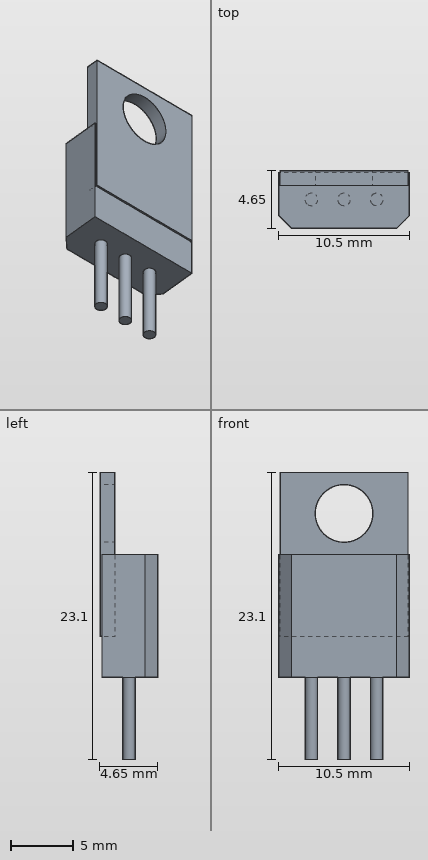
import cadquery as cq

total_height = 23.1
total_depth = 4.65

housing_width = 10.52
housing_height = total_height * 3 / 7
tab_standoff = 0.15
housing_depth = total_depth - tab_standoff
edge_chamfer = 1.02

pin_diameter = 1.02
pin_count = 3
pin_pitch = housing_width / 4
pin_length = (total_height - housing_height) / 2
pin_y = -total_depth / 2

tab_width = 10.3
tab_thickness = 1.18
tab_exposed_height = total_height - pin_length - housing_height
tab_height = 2 * tab_exposed_height
tab_bottom_z = total_height - tab_height
hole_diameter = 4.62
hole_z = total_height - tab_exposed_height / 2


def make_tab_blank():
    """Plain tab plate, also the shape of the recess that holds it."""
    return (
        cq.Workplane("XY")
        .box(tab_width, tab_thickness, tab_height, centered=(True, False, False))
        .translate((0, -tab_thickness, tab_bottom_z))
    )


def make_tab():
    """Mounting tab with its screw hole through the exposed half."""
    hole = (
        cq.Workplane("XZ")
        .center(0, hole_z)
        .circle(hole_diameter / 2)
        .extrude(tab_thickness)
    )
    return make_tab_blank().cut(hole)


def make_housing():
    """Block with chamfered front vertical edges and a recess for the tab."""
    block = (
        cq.Workplane("XY")
        .box(housing_width, housing_depth, housing_height, centered=(True, False, False))
        .translate((0, -total_depth, pin_length))
    )
    block = block.faces("<Y").edges("|Z").chamfer(edge_chamfer)
    return block.cut(make_tab_blank())


def make_pin(x):
    """Round pin that ends against the underside of the housing."""
    return (
        cq.Workplane("XY")
        .center(x, pin_y)
        .circle(pin_diameter / 2)
        .extrude(pin_length)
    )


housing = make_housing()
tab = make_tab()
pins = []
for index in range(pin_count):
    pin_x = (index - (pin_count - 1) / 2) * pin_pitch
    pins.append(make_pin(pin_x).val())

result = cq.Compound.makeCompound([housing.val(), tab.val(), *pins])